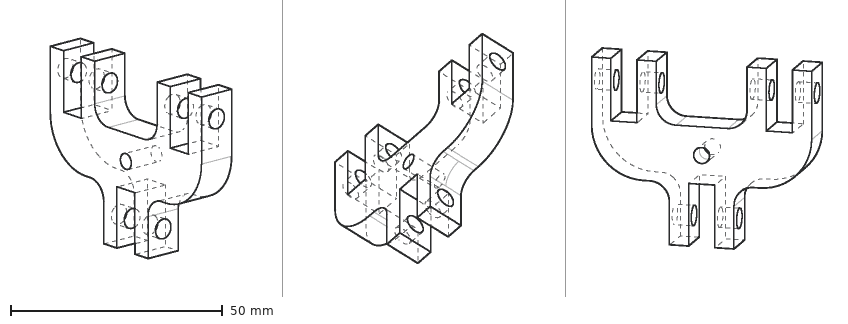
import cadquery as cq

width = 54.0
thickness = 9.55
prong_width = 4.75
slot_width = 6.35
prong_length = 15.2
web_height = 14.0
outer_radius = 12.7
inner_radius = 4.75
pin_diameter = 4.85
pin_end_distance = 6.35
center_hole_diameter = 3.9

clevis_width = 2 * prong_width + slot_width
half_web = web_height / 2
tip_height = half_web + prong_length
upper_clevis_x = (width - clevis_width) / 2
pin_height = tip_height - pin_end_distance


def block(size_x, size_z, x, z):
    """Box of full part thickness, centered at the given X and Z."""
    return cq.Workplane("XY").box(size_x, thickness, size_z).translate((x, 0, z))


def body():
    """Y-shaped plate before the slots and holes are cut."""
    upper_height = web_height + prong_length
    plate = block(width, upper_height, 0, prong_length / 2)
    plate = plate.edges("|Y and <Z").fillet(outer_radius)

    gap_width = width - 2 * clevis_width
    gap = block(gap_width, prong_length, 0, half_web + prong_length / 2)
    gap = gap.edges("|Y and <Z").fillet(inner_radius)

    stem = block(clevis_width, prong_length, 0, -half_web - prong_length / 2)
    return plate.cut(gap).union(stem).union(stem_fillet(1)).union(stem_fillet(-1))


def stem_fillet(side):
    """Concave fillet between the web and one side of the lower clevis."""
    x = side * (clevis_width + inner_radius) / 2
    z = -half_web - inner_radius / 2
    corner = block(inner_radius, inner_radius, x, z)
    round_cut = (
        cq.Workplane("XZ")
        .center(side * (clevis_width / 2 + inner_radius), -half_web - inner_radius)
        .circle(inner_radius)
        .extrude(thickness, both=True)
    )
    return corner.cut(round_cut)


def pin_hole(z):
    """Hole along X through every prong at the given height."""
    return cq.Workplane("YZ").center(0, z).circle(pin_diameter / 2).extrude(width, both=True)


result = body()

slot_z = half_web + prong_length / 2
for x, z in [(-upper_clevis_x, slot_z), (upper_clevis_x, slot_z), (0, -slot_z)]:
    result = result.cut(block(slot_width, prong_length, x, z))

for z in (pin_height, -pin_height):
    result = result.cut(pin_hole(z))

center_hole = cq.Workplane("XZ").circle(center_hole_diameter / 2).extrude(thickness, both=True)
result = result.cut(center_hole)